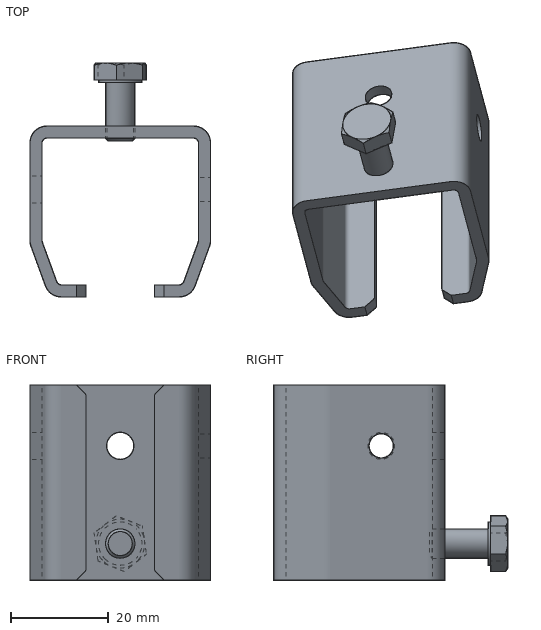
import cadquery as cq
import math

WIDTH = 37.0
DEPTH = 35.0
HEIGHT = 40.0
SHEET = 2.5
BEND_INNER_RADIUS = 1.0
BEND_OUTER_RADIUS = BEND_INNER_RADIUS + SHEET
TAPER_ANGLE = math.radians(20)
TAPER_INSET = 4.0
TAPER_LENGTH = TAPER_INSET / math.tan(TAPER_ANGLE)
OPENING = 14.0
LIP_CHAMFER = 2.0
LIP_CORNER_RADIUS = 1.0

HOLE_Z = 27.5
SIDE_HOLE_Y = 22.0
CLEARANCE_DIAMETER = 5.5
TAPPED_DIAMETER = 4.92

THREAD_DIAMETER = 6.0
BOLT_Z = 7.5
BOLT_LENGTH = 12.0
HEAD_HEIGHT = 4.0
HEAD_ACROSS_FLATS = 10.0
HEAD_TURN = 38.0
HEAD_CHAMFER_ANGLE = math.radians(30)
HEAD_TOP_DIAMETER = 10.0
WASHER_FACE_DIAMETER = 8.88
WASHER_FACE_HEIGHT = 0.5
BOLT_OVERHANG = 12.89
BOLT_TIP_DIAMETER = TAPPED_DIAMETER


def section_prism(offset, open_edge):
    """Solid of the bracket's outline moved inwards by offset, with sharp bends.

    open_edge is the Y of the face on the open side.
    """
    half_width = WIDTH / 2 - offset
    shoulder_y = TAPER_LENGTH + offset * math.tan(TAPER_ANGLE / 2)
    edge_x = half_width - (shoulder_y - open_edge) * math.tan(TAPER_ANGLE)
    outline = [
        (-edge_x, open_edge),
        (edge_x, open_edge),
        (half_width, shoulder_y),
        (half_width, DEPTH - offset),
        (-half_width, DEPTH - offset),
        (-half_width, shoulder_y),
    ]
    return cq.Workplane("XY").polyline(outline).close().extrude(HEIGHT)


def make_bracket():
    outside = section_prism(0, 0).edges("|Z").fillet(BEND_OUTER_RADIUS)
    inside = section_prism(SHEET, SHEET).edges("|Z").fillet(BEND_INNER_RADIUS)
    bracket = outside.cut(inside)

    half_gap = OPENING / 2
    flare = half_gap + LIP_CHAMFER
    opening = (
        cq.Workplane("XZ")
        .polyline([
            (flare, 0),
            (half_gap, LIP_CHAMFER),
            (half_gap, HEIGHT - LIP_CHAMFER),
            (flare, HEIGHT),
            (-flare, HEIGHT),
            (-half_gap, HEIGHT - LIP_CHAMFER),
            (-half_gap, LIP_CHAMFER),
            (-flare, 0),
        ])
        .close()
        .extrude(-SHEET)
    )
    waist_corners = cq.selectors.BoxSelector(
        (-flare, -SHEET, LIP_CHAMFER / 2), (flare, 2 * SHEET, HEIGHT - LIP_CHAMFER / 2)
    )
    opening = opening.edges("|Y").edges(waist_corners).fillet(LIP_CORNER_RADIUS)
    bracket = bracket.cut(opening)

    for z, diameter in [(HOLE_Z, CLEARANCE_DIAMETER), (BOLT_Z, THREAD_DIAMETER)]:
        hole = cq.Workplane("XZ").center(0, z).circle(diameter / 2).extrude(-DEPTH)
        bracket = bracket.cut(hole)

    for side, diameter in [(-1, CLEARANCE_DIAMETER), (1, TAPPED_DIAMETER)]:
        hole = cq.Workplane("YZ").center(SIDE_HOLE_Y, HOLE_Z).circle(diameter / 2).extrude(side * WIDTH / 2)
        bracket = bracket.cut(hole)
    return bracket


def make_bolt():
    """Hexagon bolt, built along +Z from the head top, then turned to point along -Y."""
    corner_radius = HEAD_ACROSS_FLATS / math.sqrt(3)
    hex_height = HEAD_HEIGHT - WASHER_FACE_HEIGHT
    total_length = HEAD_HEIGHT + BOLT_LENGTH
    head = (
        cq.Workplane("XY")
        .polygon(6, 2 * corner_radius)
        .extrude(hex_height)
        .rotate((0, 0, 0), (0, 0, 1), HEAD_TURN)
    )

    top_radius = HEAD_TOP_DIAMETER / 2
    cone_height = (corner_radius - top_radius) * math.tan(HEAD_CHAMFER_ANGLE)
    envelope = (
        cq.Workplane("XZ")
        .polyline([(0, 0), (top_radius, 0), (corner_radius, cone_height),
                   (corner_radius, hex_height), (0, hex_height)])
        .close()
        .revolve(360, (0, 0), (0, 1))
    )
    head = head.intersect(envelope)

    washer_face = cq.Workplane("XY").circle(WASHER_FACE_DIAMETER / 2).extrude(HEAD_HEIGHT)
    tip_chamfer = (THREAD_DIAMETER - BOLT_TIP_DIAMETER) / 2
    shank = (
        cq.Workplane("XY")
        .circle(THREAD_DIAMETER / 2)
        .extrude(total_length)
        .faces(">Z")
        .chamfer(tip_chamfer)
    )
    bolt = head.union(washer_face).union(shank)
    return bolt.rotate((0, 0, 0), (1, 0, 0), 90).translate((0, DEPTH + BOLT_OVERHANG, BOLT_Z))


bracket = make_bracket()
bolt = make_bolt()

result = cq.Compound.makeCompound([bracket.val(), bolt.val()])